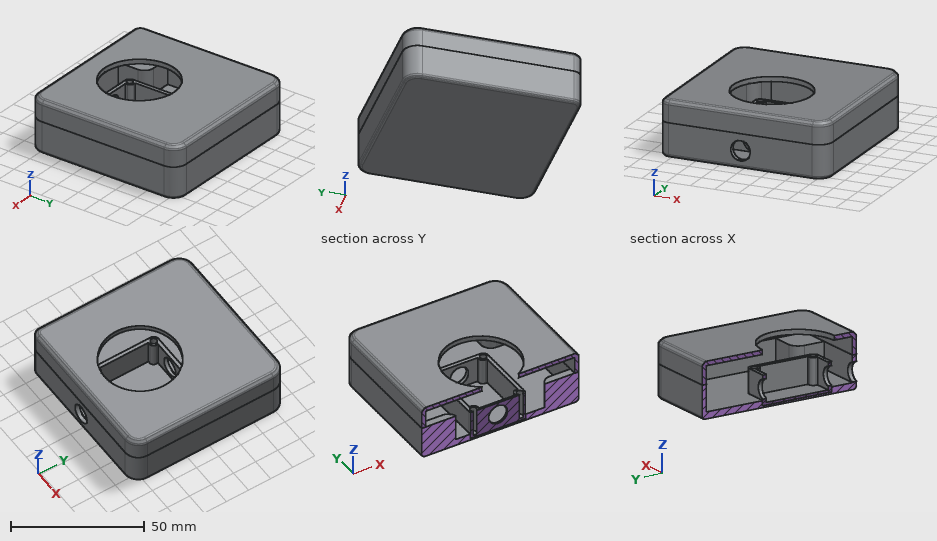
import cadquery as cq

SIDE = 69.0
HEIGHT = 23.0
SPLIT_Z = 13.9
CORNER_RADIUS = 6.0
SMALL_CORNER_RADIUS = 3.7
TOP_CHAMFER = 1.5
BOTTOM_CHAMFER = 1.0
CHAMFER_SOFTENING = 1.05

WALL = 2.0
FLOOR_Z = 3.0
LID_THICKNESS = 2.0
BOSS_DIAMETER = 8.5
BOSS_INSET = 11.0

WINDOW_DIAMETER = 32.0
WINDOW_Y = -8.4

BOX_LENGTH_X = 24.55
BOX_LENGTH_Y = 30.7
BOX_X = -1.0
BOX_Y = -7.95
BOX_BOTTOM_Z = 1.0
BOX_TOP_Z = 13.0
BOX_WALL = 1.65
BOX_FLOOR = 1.05
BOX_CORNER_RADIUS = 2.0
POST_SIDE = 4.3
POST_RADIUS = 1.7
SCREW_HOLE_DIAMETER = 2.7

CABLE_HOLE_DIAMETER = 8.0
CASE_HOLE_Z = 7.05
BOX_HOLE_Z = 7.4

CORNER_SIGNS = [(1, 1), (-1, 1), (-1, -1), (1, -1)]


def case_block(inset, z_bottom, z_top):
    """Block with the case outline, moved inward by inset."""
    side = SIDE - 2 * inset
    block = cq.Workplane("XY", origin=(0, 0, z_bottom)).rect(side, side).extrude(z_top - z_bottom)
    corner = (-side / 2, -side / 2, (z_bottom + z_top) / 2)
    block = block.edges(cq.selectors.NearestToPointSelector(corner)).fillet(SMALL_CORNER_RADIUS - inset)
    return block.edges("|Z and (>X or >Y)").fillet(CORNER_RADIUS - inset)


def soft_chamfer(block, face, size, border_z):
    """Chamfer around a face, then round its border on the sides (at border_z) and on the face."""
    block = block.faces(face).chamfer(size)
    margin = 0.1
    border = cq.selectors.BoxSelector((-SIDE, -SIDE, border_z - margin), (SIDE, SIDE, border_z + margin))
    block = block.edges(border).fillet(CHAMFER_SOFTENING)
    return block.faces(face).edges().fillet(CHAMFER_SOFTENING)


def corner_boss(sign_x, sign_y):
    """Round boss with flats that run from its sides outward to the two walls of its corner."""
    center = SIDE / 2 - BOSS_INSET
    radius = BOSS_DIAMETER / 2
    height = SPLIT_Z - FLOOR_Z
    reach = BOSS_INSET - WALL / 2
    length = radius + reach
    shift = (reach - radius) / 2
    plane = cq.Workplane("XY", origin=(sign_x * center, sign_y * center, FLOOR_Z))
    boss = plane.circle(radius).extrude(height)
    web_x = plane.center(sign_x * reach / 2, sign_y * shift).rect(reach, length).extrude(height)
    web_y = plane.center(sign_x * shift, sign_y * reach / 2).rect(length, reach).extrude(height)
    return boss.union(web_x).union(web_y)


def cable_hole(center_z, y_start, length):
    """Cutter that runs from y_start toward +Y."""
    plane = cq.Workplane("XZ", origin=(BOX_X, y_start, center_z))
    return plane.circle(CABLE_HOLE_DIAMETER / 2).extrude(-length)


def box_block():
    """Outer shape of the inner box, also the cutter for its recess."""
    plane = cq.Workplane("XY", origin=(BOX_X, BOX_Y, BOX_BOTTOM_Z))
    block = plane.rect(BOX_LENGTH_X, BOX_LENGTH_Y).extrude(BOX_TOP_Z - BOX_BOTTOM_Z)
    return block.edges("|Z").fillet(BOX_CORNER_RADIUS)


def make_base():
    outside = soft_chamfer(case_block(0, 0, SPLIT_Z), "<Z", BOTTOM_CHAMFER, BOTTOM_CHAMFER)
    base = outside.cut(case_block(WALL, FLOOR_Z, SPLIT_Z))
    for sign_x, sign_y in CORNER_SIGNS:
        base = base.union(corner_boss(sign_x, sign_y).intersect(outside))
    return base.cut(box_block()).cut(cable_hole(CASE_HOLE_Z, -SIDE / 2, WALL))


def make_lid():
    outside = soft_chamfer(case_block(0, SPLIT_Z, HEIGHT), ">Z", TOP_CHAMFER, HEIGHT - TOP_CHAMFER)
    lid = outside.cut(case_block(WALL, SPLIT_Z, HEIGHT - LID_THICKNESS))
    window = cq.Workplane("XY", origin=(0, WINDOW_Y, SPLIT_Z)).circle(WINDOW_DIAMETER / 2)
    return lid.cut(window.extrude(HEIGHT - SPLIT_Z))


def make_inner_box():
    room_bottom = BOX_BOTTOM_Z + BOX_FLOOR
    room_height = BOX_TOP_Z - room_bottom
    plane = cq.Workplane("XY", origin=(BOX_X, BOX_Y, room_bottom))
    room = plane.rect(BOX_LENGTH_X - 2 * BOX_WALL, BOX_LENGTH_Y - 2 * BOX_WALL).extrude(room_height)

    post_points = [
        (sign_x * (BOX_LENGTH_X - POST_SIDE) / 2, sign_y * (BOX_LENGTH_Y - POST_SIDE) / 2)
        for sign_x, sign_y in CORNER_SIGNS
    ]
    posts = plane.pushPoints(post_points).rect(POST_SIDE, POST_SIDE).extrude(room_height)
    room = room.cut(posts.edges("|Z").fillet(POST_RADIUS))
    screw_holes = plane.pushPoints(post_points).circle(SCREW_HOLE_DIAMETER / 2).extrude(room_height)

    box = box_block().cut(room).cut(screw_holes)
    return box.cut(cable_hole(BOX_HOLE_Z, BOX_Y - BOX_LENGTH_Y / 2, BOX_LENGTH_Y))


base = make_base()
lid = make_lid()
inner_box = make_inner_box()

result = cq.Compound.makeCompound([base.solids().val(), lid.solids().val(), inner_box.solids().val()])